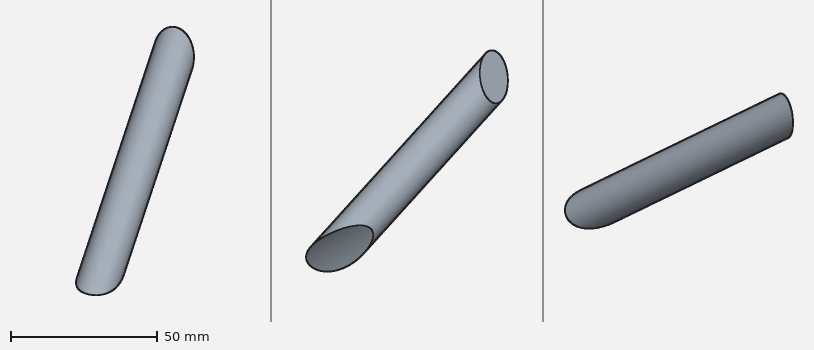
import cadquery as cq
import math

BAR_DIAMETER = 15.0
LENGTH_Y = 80.53
SLOPE = 35.0
UPPER_CUT_ANGLE = 77.5
SADDLE_RADIUS = 25.4

radius = BAR_DIAMETER / 2
slope = math.radians(SLOPE)
rise = LENGTH_Y * math.tan(slope)
axis_drop = radius / math.cos(slope)
toe_y = -LENGTH_Y / 2
tip_y = LENGTH_Y / 2
tip_z = SADDLE_RADIUS + rise
overrun = 2 * BAR_DIAMETER
cutter_size = LENGTH_Y + 2 * overrun


def make_bar():
    """Round bar along the slope, longer than needed at both ends."""
    axis = cq.Vector(0, math.cos(slope), math.sin(slope))
    toe_axis_point = cq.Vector(0, toe_y, SADDLE_RADIUS - axis_drop)
    start = toe_axis_point - axis * overrun
    length = LENGTH_Y / math.cos(slope) + 2 * overrun
    plane = cq.Plane(origin=start, xDir=(-1, 0, 0), normal=axis)
    return cq.Workplane(plane).circle(radius).extrude(length)


def make_upper_cutter():
    """Block starting at the slanted upper end plane, which passes through the tip."""
    cut_angle = math.radians(UPPER_CUT_ANGLE)
    outward = cq.Vector(0, math.sin(cut_angle), -math.cos(cut_angle))
    plane = cq.Plane(origin=(0, tip_y, tip_z), xDir=(1, 0, 0), normal=outward)
    return cq.Workplane(plane).rect(cutter_size, cutter_size).extrude(cutter_size)


def make_saddle_cutter():
    """Round member along Y, with everything below its axis removed as well."""
    below_depth = overrun + axis_drop
    member = cq.Workplane("XZ").circle(SADDLE_RADIUS).extrude(cutter_size / 2, both=True)
    below = cq.Workplane("XY").rect(2 * SADDLE_RADIUS, cutter_size).extrude(-below_depth)
    return member.union(below)


result = make_bar().cut(make_upper_cutter()).cut(make_saddle_cutter())